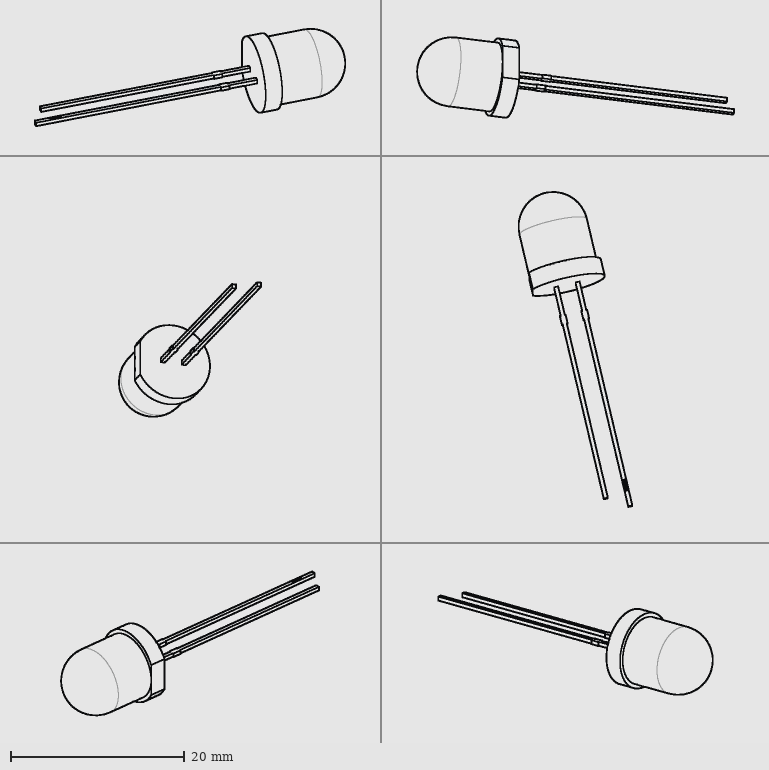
import cadquery as cq

overall_length = 38.0
lens_radius = 8.0 / 2
flange_radius = 9.0 / 2
flange_thickness = 2.0
body_height = 11.02

lead_pitch = 2.55
lead_width = 0.5
anode_length = overall_length - body_height
cathode_length = 25.45

shoulder_width = 0.7
shoulder_length = 1.03
shoulder_offset = 3.42

mark_width = 0.15
mark_length = 1.3
mark_depth = 0.1
mark_end_gap = 1.85


def make_lens():
    """Cylinder closed by a hemispherical dome, as a half profile turned about Y."""
    dome_start = body_height - lens_radius
    return (
        cq.Workplane("XY")
        .lineTo(lens_radius, 0)
        .lineTo(lens_radius, dome_start)
        .radiusArc((0, body_height), -lens_radius)
        .close()
        .revolve(360, (0, 0, 0), (0, 1, 0))
    )


def make_flange():
    """Round flange with a flat on -X, flush with the side of the lens."""
    disc = cq.Workplane("XZ").circle(flange_radius).extrude(-flange_thickness)
    flat_limit = (
        cq.Workplane("XY", origin=(-lens_radius, 0, 0))
        .box(lens_radius + flange_radius, flange_thickness, 2 * flange_radius, centered=(False, False, True))
    )
    return disc.intersect(flat_limit)


def make_lead(x, length):
    """Square lead with a wider shoulder a short way below the flange."""
    wire = cq.Workplane("XZ").center(x, 0).rect(lead_width, lead_width).extrude(length)
    shoulder = (
        cq.Workplane("XZ", origin=(x, -shoulder_offset, 0))
        .rect(shoulder_width, lead_width)
        .extrude(shoulder_length)
    )
    return wire.union(shoulder)


def make_anode_mark(x):
    """Narrow groove in the top of the longer lead, near its tip."""
    middle_y = mark_end_gap + mark_length / 2 - anode_length
    return (
        cq.Workplane("XY", origin=(x, middle_y, lead_width / 2 - mark_depth))
        .rect(mark_width, mark_length)
        .extrude(mark_depth)
    )


cathode_x = -lead_pitch / 2
anode_x = lead_pitch / 2

result = (
    make_lens()
    .union(make_flange())
    .union(make_lead(cathode_x, cathode_length))
    .union(make_lead(anode_x, anode_length))
    .cut(make_anode_mark(anode_x))
)